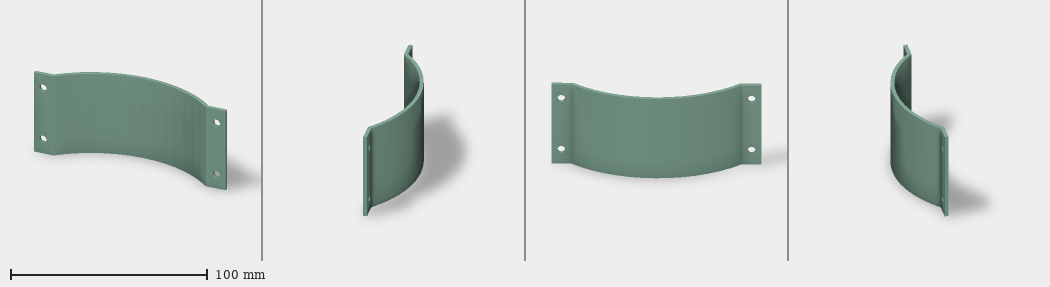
import cadquery as cq
import math

length = 107.0
height = 45.0
rise = 18.175
thickness = 2.0

flange_width = 11.0

hole_diameter = 4.0
hole_end_inset = 5.125
hole_edge_inset = 8.0

half_length = length / 2
inner_half_chord = half_length - flange_width
inner_rise = rise - thickness
inner_radius = (inner_half_chord**2 + inner_rise**2) / (2 * inner_rise)
outer_radius = inner_radius + thickness
arc_center_y = rise - outer_radius

outer_half_chord = math.sqrt(outer_radius**2 - (thickness - arc_center_y) ** 2)


def make_strap():
    """Arched strap with flat flanges, extruded along Z from the XY plane."""
    return (
        cq.Workplane("XY")
        .moveTo(-half_length, 0)
        .lineTo(-inner_half_chord, 0)
        .threePointArc((0, inner_rise), (inner_half_chord, 0))
        .lineTo(half_length, 0)
        .lineTo(half_length, thickness)
        .lineTo(outer_half_chord, thickness)
        .threePointArc((0, rise), (-outer_half_chord, thickness))
        .lineTo(-half_length, thickness)
        .close()
        .extrude(height)
    )


def make_hole_cutters():
    """Four cylinders along +Y, two through each flange."""
    spacing_x = length - 2 * hole_end_inset
    spacing_z = height - 2 * hole_edge_inset
    return (
        cq.Workplane("XZ", origin=(0, 0, height / 2))
        .rarray(spacing_x, spacing_z, 2, 2)
        .circle(hole_diameter / 2)
        .extrude(-thickness)
    )


result = make_strap().cut(make_hole_cutters())